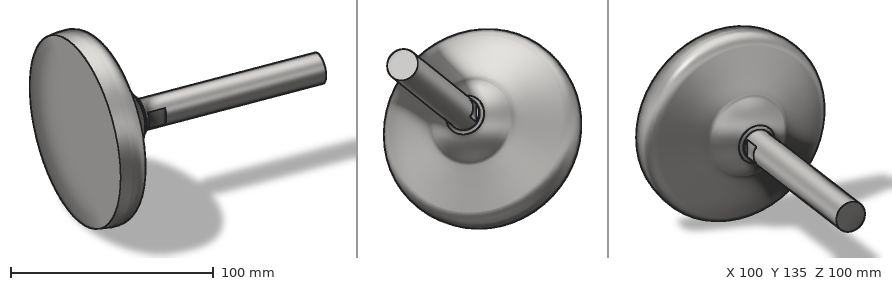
import cadquery as cq
import math


pad_radius = 50.0
pad_bottom_radius = 49.2
widest_height = 6.0
shoulder_start_height = 9.0
shoulder_radius = 7.4
cone_angle = math.radians(19)
dome_radius = 25.7
dome_center_height = 9.9
dome_blend_radius = 4.2
dome_top_radius = 9.5

total_height = 135.0
stem_radius = 8.0
collar_radius = 10.0
collar_rim_height = 34.6
collar_top_height = 35.3
flat_bottom_height = 37.0
flat_length = 9.5
across_flats = 13.0

dome_top_height = dome_center_height + math.sqrt(dome_radius**2 - dome_top_radius**2)


def revolve_about_y(outline):
    return outline.close().revolve(360, (0, 0, 0), (0, 1, 0))


def dome_point(tilt, radius=dome_radius):
    """Point at a radius from the dome center, on a ray tilted away from the Y axis."""
    return radius * math.sin(tilt), dome_center_height + radius * math.cos(tilt)


def make_pad():
    """Round pad: tapered skirt, rounded shoulder, conical top and a spherical dome."""
    shoulder_center = (pad_radius - shoulder_radius, shoulder_start_height)

    def shoulder_point(angle):
        return (
            shoulder_center[0] + shoulder_radius * math.cos(angle),
            shoulder_center[1] + shoulder_radius * math.sin(angle),
        )

    shoulder_end_angle = math.pi / 2 - cone_angle
    cone_foot = shoulder_point(shoulder_end_angle)

    dome_center_above_cone = (
        (dome_center_height - cone_foot[1]) * math.cos(cone_angle) - cone_foot[0] * math.sin(cone_angle)
    )
    blend_tilt = cone_angle + math.acos(
        (dome_blend_radius - dome_center_above_cone) / (dome_radius + dome_blend_radius)
    )
    blend_center = dome_point(blend_tilt, dome_radius + dome_blend_radius)

    def blend_point(tilt):
        return (
            blend_center[0] - dome_blend_radius * math.sin(tilt),
            blend_center[1] - dome_blend_radius * math.cos(tilt),
        )

    dome_top_tilt = math.asin(dome_top_radius / dome_radius)

    outline = (
        cq.Workplane("XY")
        .lineTo(pad_bottom_radius, 0)
        .lineTo(pad_radius, widest_height)
        .lineTo(pad_radius, shoulder_start_height)
        .threePointArc(shoulder_point(shoulder_end_angle / 2), cone_foot)
        .lineTo(*blend_point(cone_angle))
        .threePointArc(blend_point((cone_angle + blend_tilt) / 2), blend_point(blend_tilt))
        .threePointArc(dome_point((blend_tilt + dome_top_tilt) / 2), dome_point(dome_top_tilt))
        .lineTo(0, dome_top_height)
    )
    return revolve_about_y(outline)


def make_stem():
    """Plain round stem with a collar at its foot and two flats for a wrench."""
    outline = (
        cq.Workplane("XY")
        .moveTo(0, dome_top_height)
        .lineTo(dome_top_radius, dome_top_height)
        .lineTo(collar_radius, collar_rim_height)
        .lineTo(stem_radius, collar_top_height)
        .lineTo(stem_radius, total_height)
        .lineTo(0, total_height)
    )
    stem = revolve_about_y(outline)
    for side in (-1, 1):
        flat_cutter = cq.Workplane("XY").box(stem_radius, flat_length, 2 * stem_radius).translate(
            (side * (across_flats + stem_radius) / 2, flat_bottom_height + flat_length / 2, 0)
        )
        stem = stem.cut(flat_cutter)
    return stem


pad = make_pad()
stem = make_stem()
result = cq.Compound.makeCompound([pad.val(), stem.val()])